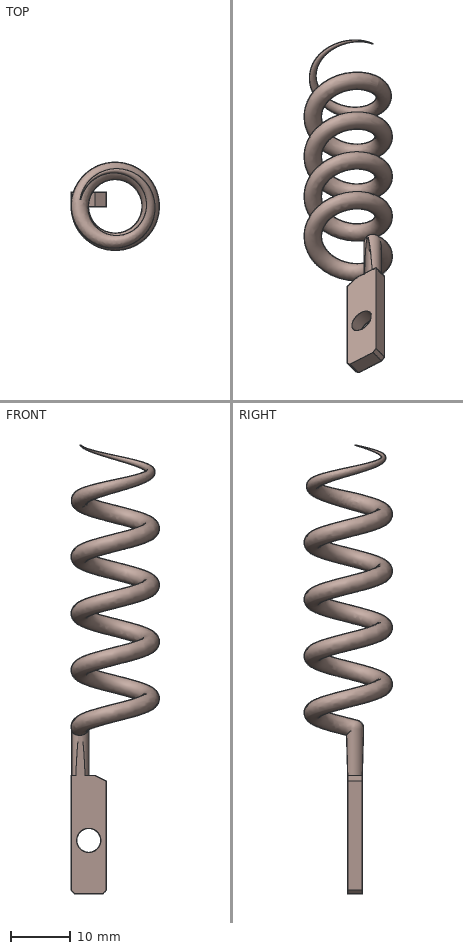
import cadquery as cq
import math

total_height = 76.1
coil_outer_diameter = 15.0

wire_diameter = 3.0
wire_radius = wire_diameter / 2
coil_radius = (coil_outer_diameter - wire_diameter) / 2
coil_start_z = 28.0
full_turns = 4
taper_turns = 1
tip_radius = 0.05
pitch = (total_height - tip_radius - coil_start_z) / (full_turns + taper_turns)

tang_width = 6.0
tang_thickness = 2.5
tang_height = 20.1
tang_left_x = -coil_outer_diameter / 2
tang_center_y = 1.15
bottom_chamfer = 0.6
shoulder_chamfer_width = 2.0
shoulder_chamfer_height = 1.0
hole_diameter = 4.0
hole_z = 9.05

start_angle = 180 - math.degrees(math.asin(tang_center_y / coil_radius))
start_x = coil_radius * math.cos(math.radians(start_angle))
lead_angle = math.atan2(pitch, 2 * math.pi * coil_radius)


def coil(turns, start_radius, end_radius):
    """Round wire wound from the +X axis at Z = 0, with its radius changing evenly."""
    height = turns * pitch
    path = cq.Wire.makeHelix(pitch, height, coil_radius)
    tangent = cq.Vector(0, math.cos(lead_angle), math.sin(lead_angle))
    start_section = cq.Wire.makeCircle(start_radius, cq.Vector(coil_radius, 0, 0), tangent)
    end_section = cq.Wire.makeCircle(end_radius, cq.Vector(coil_radius, 0, height), tangent)
    solid = cq.Solid.sweep_multi([start_section, end_section], path, makeSolid=True, isFrenet=True)
    return cq.Workplane(solid)


def make_coil():
    """Full-thickness turns followed by the turn that tapers to the tip."""
    body = coil(full_turns, wire_radius, wire_radius)
    tip = coil(taper_turns, wire_radius, tip_radius).translate((0, 0, full_turns * pitch))
    wound = body.union(tip)
    return wound.rotate((0, 0, 0), (0, 0, 1), start_angle).translate((0, 0, coil_start_z))


def make_shank():
    """Upright wire, flattened towards the tang and ending in a ball where the coil starts."""
    rod = (
        cq.Workplane("XY", origin=(start_x, tang_center_y, tang_height))
        .circle(wire_radius)
        .extrude(coil_start_z - tang_height)
    )
    flattening = (
        cq.Workplane("YZ", origin=(start_x, tang_center_y, 0))
        .moveTo(-tang_thickness / 2, tang_height)
        .lineTo(tang_thickness / 2, tang_height)
        .lineTo(wire_radius, coil_start_z)
        .lineTo(-wire_radius, coil_start_z)
        .close()
        .extrude(wire_radius, both=True)
    )
    ball = cq.Workplane("XY", origin=(start_x, tang_center_y, coil_start_z)).sphere(wire_radius)
    return rod.intersect(flattening).union(ball)


def make_tang():
    """Flat bar with a sloped shoulder, chamfered bottom corners and a cross hole."""
    right_x = tang_left_x + tang_width
    bar = (
        cq.Workplane("XZ", origin=(0, tang_center_y, 0))
        .moveTo(tang_left_x + bottom_chamfer, 0)
        .lineTo(right_x - bottom_chamfer, 0)
        .lineTo(right_x, bottom_chamfer)
        .lineTo(right_x, tang_height - shoulder_chamfer_height)
        .lineTo(right_x - shoulder_chamfer_width, tang_height)
        .lineTo(tang_left_x, tang_height)
        .lineTo(tang_left_x, bottom_chamfer)
        .close()
        .extrude(tang_thickness / 2, both=True)
    )
    hole = (
        cq.Workplane("XZ", origin=(tang_left_x + tang_width / 2, tang_center_y, hole_z))
        .circle(hole_diameter / 2)
        .extrude(tang_thickness, both=True)
    )
    return bar.cut(hole)


result = make_tang().union(make_shank()).union(make_coil())